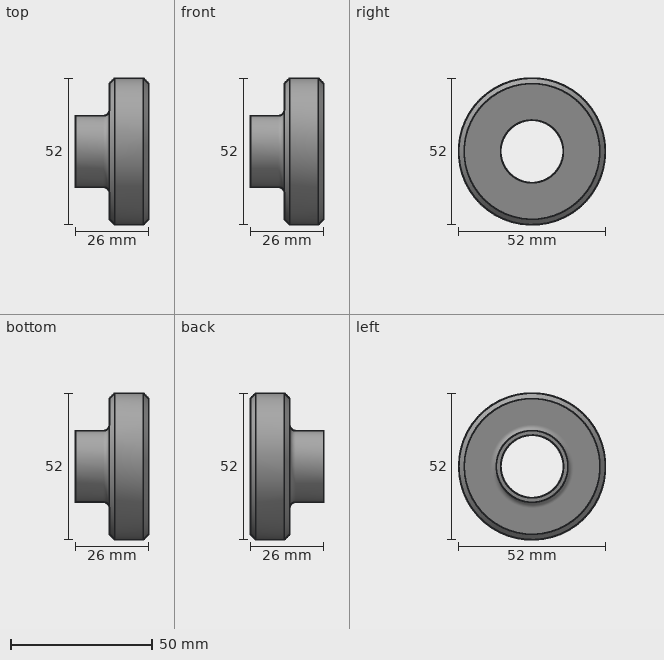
import cadquery as cq

total_length = 26.0
flange_diameter = 52.0
tube_diameter = 25.4
bore_diameter = 22.1

flange_thickness = 14.0
edge_chamfer = 2.0
neck_fillet = 2.05

flange_start = total_length - flange_thickness


def disc(diameter, start, length):
    """Cylinder along +X beginning at x = start."""
    return cq.Workplane("YZ", origin=(start, 0, 0)).circle(diameter / 2).extrude(length)


flange = disc(flange_diameter, flange_start, flange_thickness).edges().chamfer(edge_chamfer)

body = flange.union(disc(tube_diameter, 0, flange_start))
flange_face = body.faces("<X[1]")
body = flange_face.edges(cq.selectors.RadiusNthSelector(0)).fillet(neck_fillet)

result = body.cut(disc(bore_diameter, 0, total_length))